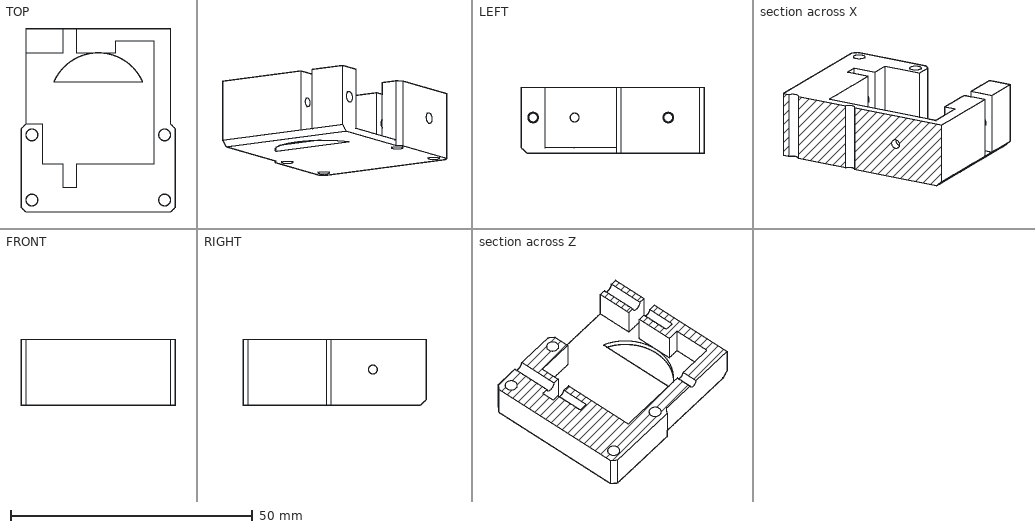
import cadquery as cq

height = 13.7
length = 38.0
wide_width = 32.0
narrow_width = 30.0
wide_length = 18.25
corner_chamfer = 1.0

floor_thickness = 1.2
cavity_half_width = 11.5
cavity_start_y = 10.0
end_block_y = 33.0
recess_end_y = 35.5
recess_start_x = 3.55

slot_min_x = -7.3
slot_max_x = -4.55
slot_start_y = 5.05

window_radius = 10.0
window_center_y = end_block_y - window_radius
window_chord_y = 27.0

mount_diameter = 2.4
mount_x = 13.75
mount_ys = (2.5, 16.0)

cross_z = (floor_thickness + height) / 2
clearance_diameter = 2.2
pilot_diameter = 1.8
cross_screw_ys = (7.5, recess_end_y)
pilot_depth = 6.0
wall_hole_y = 26.9

bevel_length = 1.3
bevel_height = 1.2


def box(x0, x1, y0, y1, z0, z1):
    """Axis-aligned box between two opposite corners."""
    return cq.Workplane("XY").box(x1 - x0, y1 - y0, z1 - z0, centered=False).translate((x0, y0, z0))


def cross_hole(diameter, x0, x1, y):
    """Cylinder along X at the cross-hole height."""
    axis_start = cq.Workplane("YZ", origin=(x0, y, cross_z))
    return axis_start.circle(diameter / 2).extrude(x1 - x0)


def make_body():
    """Wide chamfered end joined to the narrower bevelled end."""
    wide_end = box(-wide_width / 2, wide_width / 2, 0, wide_length, 0, height)
    wide_end = wide_end.edges("|Z").chamfer(corner_chamfer)
    narrow_profile = [
        (corner_chamfer, 0),
        (length - bevel_length, 0),
        (length, bevel_height),
        (length, height),
        (corner_chamfer, height),
    ]
    narrow_end = (
        cq.Workplane("YZ", origin=(-narrow_width / 2, 0, 0))
        .polyline(narrow_profile)
        .close()
        .extrude(narrow_width)
    )
    return wide_end.union(narrow_end)


def make_cavity():
    """Open-topped cavity with its side opening, corner recess and slot."""
    def pocket(x0, x1, y0, y1):
        return box(x0, x1, y0, y1, floor_thickness, height)

    main = pocket(-cavity_half_width, cavity_half_width, cavity_start_y, end_block_y)
    side_opening = pocket(-wide_width / 2, -cavity_half_width, wide_length, end_block_y)
    recess = pocket(recess_start_x, cavity_half_width, end_block_y, recess_end_y)
    slot = pocket(slot_min_x, slot_max_x, slot_start_y, length)
    return main.union(side_opening).union(recess).union(slot)


def make_window():
    """Circular segment through the floor, on the narrow-end side of its chord."""
    disc = cq.Workplane("XY").center(0, window_center_y).circle(window_radius).extrude(floor_thickness)
    keep = box(-window_radius, window_radius, window_chord_y, end_block_y, 0, floor_thickness)
    return disc.intersect(keep)


def make_mount_holes():
    """Four vertical holes through the wide end."""
    centers = [(x, y) for x in (-mount_x, mount_x) for y in mount_ys]
    return cq.Workplane("XY").pushPoints(centers).circle(mount_diameter / 2).extrude(height)


result = make_body().cut(make_cavity()).cut(make_window()).cut(make_mount_holes())

for screw_y in cross_screw_ys:
    result = result.cut(cross_hole(clearance_diameter, -wide_width / 2, slot_min_x, screw_y))
    result = result.cut(cross_hole(pilot_diameter, slot_max_x, slot_max_x + pilot_depth, screw_y))

result = result.cut(cross_hole(pilot_diameter, cavity_half_width, wide_width / 2, wall_hole_y))